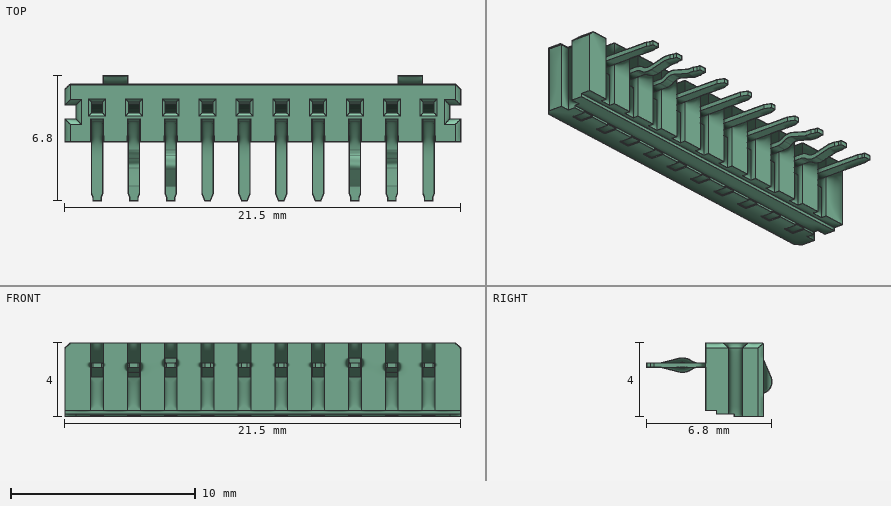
import cadquery as cq
import math


body_length = 21.5
body_depth = 3.15
body_height = 4.0
end_chamfer = 0.3
end_chamfer_drop = 0.27
back_edge_chamfer = 0.07

front_step_depth = 0.58
front_step_height = 0.33
middle_step_depth = 1.55
middle_step_height = 0.14

key_front = 1.25
key_width = 0.75
key_depth = 0.6

contact_count = 10
contact_pitch = 2.0
bent_down = (1, 8)
bent_up = (2, 7)
needle_tipped = (3, 4, 5, 6)

slot_width = 0.7
shallow_slot_depth = 0.33
slot_depth = 1.24
ledge_height = 2.16

socket_mouth = 0.92
socket_throat = 0.6
socket_center_y = 1.875
funnel_depth = 0.16
spring_radius = 0.32
spring_angle = math.radians(58)
spring_floor_height = 1.7
spring_ridge_setback = 0.11
spring_ridge_drop = 0.06

foot_recess_depth = 0.8
foot_recess_height = 0.07

pin_width = 0.62
pin_thickness = 0.25
pin_center_height = 2.795
pin_reach = 3.2
elbow_chamfer = 0.13
elbow_chamfer_drop = 0.04
leg_embed = 0.3
blunt_tip_width = 0.46
blunt_taper_start = 0.4
blunt_taper_end = 0.2
needle_tip_width = 0.3
needle_taper_start = 0.4

bend_start = 0.445
rise_angle = math.radians(36.5)
fall_angle = math.radians(14.5)
rise_radius = 0.63
crest_radius = 0.745

latch_spacing = 16.0
latch_width = 1.35
latch_projection = 0.45
latch_radius = 0.67
latch_center_height = 1.9
latch_top_height = 3.07

contact_positions = [
    (i - (contact_count - 1) / 2) * contact_pitch for i in range(contact_count)
]


def box(x_min, x_max, y_min, y_max, z_min, z_max):
    """Axis-aligned block between the given limits."""
    size = (x_max - x_min, y_max - y_min, z_max - z_min)
    return cq.Workplane("XY").box(*size, centered=False).translate((x_min, y_min, z_min))


def centered_box(x, width, y_min, y_max, z_min, z_max):
    """Block centred on x."""
    return box(x - width / 2, x + width / 2, y_min, y_max, z_min, z_max)


def extrude_side_profile(profile, x, width):
    """Extrude a closed YZ profile symmetrically about x."""
    return profile.extrude(width / 2, both=True).translate((x, 0, 0))


def make_body():
    """Stepped bar with chamfered ends and a bevelled key notch in each end."""
    profile = cq.Workplane("YZ").polyline([
        (0, front_step_height),
        (front_step_depth, front_step_height),
        (front_step_depth, middle_step_height),
        (middle_step_depth, middle_step_height),
        (middle_step_depth, 0),
        (body_depth, 0),
        (body_depth, body_height - back_edge_chamfer),
        (body_depth - back_edge_chamfer, body_height),
        (0, body_height),
    ]).close()
    body = extrude_side_profile(profile, 0, body_length)
    body = body.edges("|Z and >Y").chamfer(end_chamfer)
    for side in (-1, 1):
        body = body.cut(end_cut(side))
    return body


def end_cut(side):
    """Key notch, its bevelled rim and the top-edge chamfer of one end."""
    half_length = body_length / 2
    key_center = key_front + key_width / 2
    bevel_base = body_height - end_chamfer_drop

    notch = centered_box(
        half_length, 2 * key_depth, key_front, key_front + key_width, 0, body_height
    )
    rim = (
        cq.Workplane("XY", origin=(half_length, key_center, bevel_base))
        .rect(2 * key_depth, key_width)
        .workplane(offset=end_chamfer_drop)
        .rect(2 * (key_depth + end_chamfer), key_width + 2 * end_chamfer)
        .loft(ruled=True)
    )
    corner = (
        cq.Workplane("XZ")
        .polyline([
            (half_length, bevel_base),
            (half_length, body_height),
            (half_length - end_chamfer, body_height),
        ])
        .close()
        .extrude(-body_depth)
    )
    cutter = notch.union(rim).union(corner)
    if side < 0:
        cutter = cutter.mirror("YZ")
    return cutter


def slot_cut(x):
    """Front slot, deep above the ledge and shallow below it."""
    shallow = centered_box(x, slot_width, 0, shallow_slot_depth, 0, body_height)
    deep = centered_box(x, slot_width, 0, slot_depth, ledge_height, body_height)
    return shallow.union(deep)


def spring_point(front, angle):
    """Point of the rounded spring foot after turning up by this angle from level."""
    return (
        front + spring_radius * math.sin(angle),
        spring_floor_height + spring_radius * (1 - math.cos(angle)),
    )


def socket_cut(x):
    """Funnelled square socket whose floor is the curved contact spring."""
    throat_top = body_height - funnel_depth
    funnel = (
        cq.Workplane("XY", origin=(x, socket_center_y, throat_top))
        .rect(socket_throat, socket_throat)
        .workplane(offset=funnel_depth)
        .rect(socket_mouth, socket_mouth)
        .loft(ruled=True)
    )
    front = socket_center_y - socket_throat / 2
    back = socket_center_y + socket_throat / 2
    ridge_y = back - spring_ridge_setback
    arc_middle = spring_point(front, spring_angle / 2)
    arc_end = spring_point(front, spring_angle)
    ridge_height = arc_end[1] + (ridge_y - arc_end[0]) * math.tan(spring_angle)
    shaft = (
        cq.Workplane("YZ")
        .moveTo(front, throat_top)
        .lineTo(front, spring_floor_height)
        .threePointArc(arc_middle, arc_end)
        .lineTo(ridge_y, ridge_height)
        .lineTo(back, ridge_height - spring_ridge_drop)
        .lineTo(back, throat_top)
        .close()
    )
    return funnel.union(extrude_side_profile(shaft, x, socket_throat))


def foot_recess_cut(x):
    """Shallow recess under the contact, open towards the step."""
    return centered_box(
        x, slot_width,
        middle_step_depth, middle_step_depth + foot_recess_depth,
        0, foot_recess_height,
    )


def arc_point(center, radius, angle):
    """Point on an arc; the angle is taken from +Z and turns towards -Y."""
    return (
        center[0] - radius * math.sin(angle),
        center[1] + radius * math.cos(angle),
    )


def bent_face(offset):
    """Points of the upward bend for the pin face at this offset from the centre line."""
    rise_center = (-bend_start, pin_center_height + rise_radius)
    rise_end = arc_point(rise_center, -rise_radius, -rise_angle)
    crest_center = arc_point(rise_end, -crest_radius, -rise_angle)
    fall_start = arc_point(crest_center, crest_radius, fall_angle)
    fall_run = (fall_start[1] - pin_center_height) / math.tan(fall_angle)
    miter = offset * math.tan(fall_angle / 2)
    inner = offset - rise_radius
    outer = offset + crest_radius
    return [
        (-bend_start, pin_center_height + offset),
        arc_point(rise_center, inner, -rise_angle / 2),
        arc_point(rise_center, inner, -rise_angle),
        arc_point(crest_center, outer, (fall_angle - rise_angle) / 2),
        arc_point(crest_center, outer, fall_angle),
        (fall_start[0] - fall_run - miter, pin_center_height + offset),
    ]


def straight_blade():
    """Side profile of a straight pin, from the elbow to the pin end."""
    length = slot_depth - elbow_chamfer + pin_reach
    center_y = slot_depth - elbow_chamfer - length / 2
    return (
        cq.Workplane("YZ")
        .center(center_y, pin_center_height)
        .rect(length, pin_thickness)
    )


def bent_blade():
    """Side profile of a pin with an upward retaining bend."""
    half = pin_thickness / 2
    inside = slot_depth - elbow_chamfer
    upper = bent_face(half)
    lower = bent_face(-half)
    return (
        cq.Workplane("YZ")
        .moveTo(inside, pin_center_height + half)
        .lineTo(*upper[0])
        .threePointArc(upper[1], upper[2])
        .threePointArc(upper[3], upper[4])
        .lineTo(*upper[5])
        .lineTo(-pin_reach, pin_center_height + half)
        .lineTo(-pin_reach, pin_center_height - half)
        .lineTo(*lower[5])
        .lineTo(*lower[4])
        .threePointArc(lower[3], lower[2])
        .threePointArc(lower[1], lower[0])
        .lineTo(inside, pin_center_height - half)
        .close()
    )


def plan_outline(tip_width, taper_start, taper_end):
    """Plan of a pin, tall enough to trim any blade to its tapered tip.

    The taper runs between two distances from the pin end; a zero taper_end
    gives a tip without a parallel stretch.
    """
    half = pin_width / 2
    tip = tip_width / 2
    right_edge = [(half, slot_depth), (half, taper_start - pin_reach)]
    if taper_end > 0:
        right_edge.append((tip, taper_end - pin_reach))
    right_edge.append((tip, -pin_reach))
    left_edge = [(-x, y) for x, y in reversed(right_edge)]
    return cq.Workplane("XY").polyline(right_edge + left_edge).close().extrude(body_height)


def elbow():
    """Leg at the back of the slot where the pin turns down into the ledge."""
    top = pin_center_height + pin_thickness / 2
    front = slot_depth - pin_thickness
    leg_bottom = ledge_height - leg_embed
    profile = cq.Workplane("YZ").polyline([
        (front, leg_bottom),
        (slot_depth, leg_bottom),
        (slot_depth, top - elbow_chamfer_drop),
        (slot_depth - elbow_chamfer, top),
        (front, top),
    ]).close()
    return extrude_side_profile(profile, 0, pin_width)


def make_pin(index):
    """One pin, straight or bent, at its place in the row."""
    bent = index in bent_down or index in bent_up
    profile = bent_blade() if bent else straight_blade()
    blade = extrude_side_profile(profile, 0, pin_width)
    if index in bent_down:
        blade = blade.mirror("XY", (0, 0, pin_center_height))
    if index in needle_tipped:
        outline = plan_outline(needle_tip_width, needle_taper_start, 0)
    else:
        outline = plan_outline(blunt_tip_width, blunt_taper_start, blunt_taper_end)
    pin = blade.intersect(outline).union(elbow())
    return pin.translate((contact_positions[index], 0, 0))


def make_latch(x):
    """Rounded bump on the back with a straight ramp running up to the housing."""
    center_y = body_depth + latch_projection - latch_radius
    rise = latch_top_height - latch_center_height
    setback = body_depth - center_y
    reach = math.hypot(setback, rise)
    tangent_angle = math.atan2(rise, setback) - math.acos(latch_radius / reach)
    bottom_drop = math.sqrt(latch_radius ** 2 - setback ** 2)
    profile = (
        cq.Workplane("YZ")
        .moveTo(body_depth, latch_top_height)
        .lineTo(
            center_y + latch_radius * math.cos(tangent_angle),
            latch_center_height + latch_radius * math.sin(tangent_angle),
        )
        .threePointArc(
            (center_y + latch_radius, latch_center_height),
            (body_depth, latch_center_height - bottom_drop),
        )
        .close()
    )
    return extrude_side_profile(profile, x, latch_width)


result = make_body()
for contact_x in contact_positions:
    result = result.cut(slot_cut(contact_x))
    result = result.cut(socket_cut(contact_x))
    result = result.cut(foot_recess_cut(contact_x))
for latch_x in (-latch_spacing / 2, latch_spacing / 2):
    result = result.union(make_latch(latch_x))
for contact_index in range(contact_count):
    result = result.union(make_pin(contact_index))